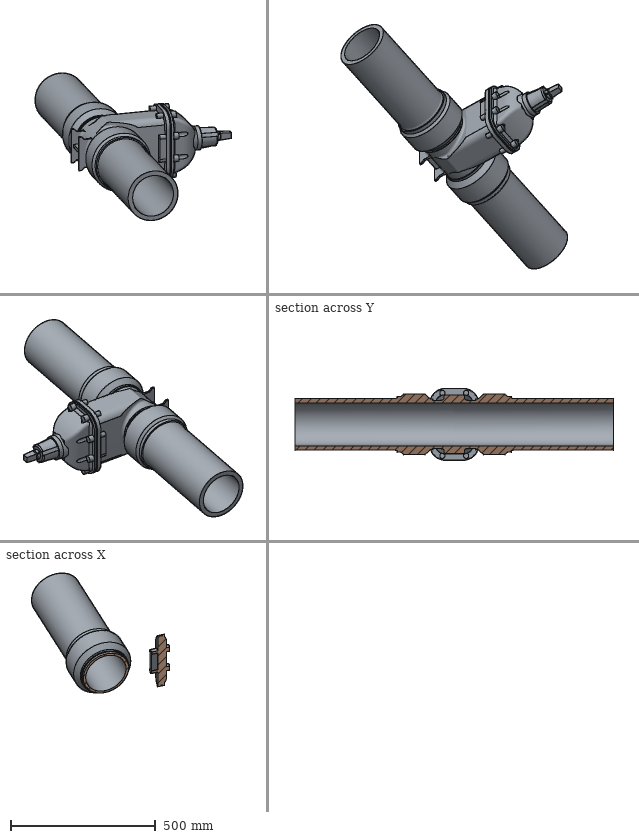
import cadquery as cq
import math


PIPE_LENGTH = 1101.0
PIPE_R = 180.0 / 2
BORE_R = 147.27 / 2
BODY_R = 168.0 / 2
BARREL_TOLERANCE = 0.5
NECK_R = 176.0 / 2
COLLAR_R = 211.0 / 2
SLEEVE_R = 97.0
SLEEVE_LIP_R = 92.0
NECK_START_X = 74.0
NECK_END_X = 82.0
COLLAR_START_X = 101.0
COLLAR_END_X = 174.5
SLEEVE_START_X = 183.5
SLEEVE_END_X = 197.0
LIP_END_X = 204.0

HOUSING_HALF_X = 64.0
HOUSING_HALF_Z = 101.5
HOUSING_FLAT_HALF_X = 35.0
HOUSING_CORNER_R = 29.0
HOUSING_CORNER_END_Z = 81.0
TAPER_TOP_Y = 98.0
TAPER_END_Y = 0.0
TOE_HALF_X = 36.0
TOE_TOP_Y = -7.0
TOE_BOTTOM_Y = -53.5
TOE_RIDGE_FILLET = 8.0
HOUSING_ROOT_FILLET = 8.0
TOE_BOTTOM_HALF_Z = math.sqrt(BODY_R**2 - TOE_BOTTOM_Y**2)

FLANGE_HALF_X = 85.0
FLANGE_HALF_Z = 248.74 / 2
FLANGE_CORNER_R = 55.0
GASKET_INSET = 3.0
LOWER_FLANGE_Y = 191.0
GASKET_BOTTOM_Y = 205.0
GASKET_TOP_Y = 209.0
UPPER_FLANGE_Y = 217.0

SIDE_BOLT = (73.0, 41.0)
END_BOLT = (41.0, 108.5)
UPPER_BOSS_R = 12.0
UPPER_BOSS_TOP_Y = 236.0
LOWER_BOSS_R = 9.0
LOWER_BOSS_BOTTOM_Y = 168.0
SIDE_PAD_INNER_X = 66.0
SIDE_PAD_OUTER_X = 81.0

SKIRT_TOP_Y = 227.0
SKIRT_WIDTH = 9.0
SKIRT_CORNER_R = 29.0
DOME_CENTRE_Y = 256.0
DOME_MID_Z = 83.0
DOME_MID_Y = 268.0
DOME_TOP_Y = 309.0
DOME_TOP_HALF_Z = 42.0
DOME_EDGE_FILLET = 12.0

SEAT_R = 42.0
SEAT_FLARE = 6.0
SEAT_FLARE_TOP_Y = 317.0
SEAT_BOTTOM_Y = 300.0
SEAT_TOP_Y = 333.0
GLAND_BASE_R = 36.0
GLAND_WAIST_R = 33.0
GLAND_WAIST_Y = 363.0
GLAND_TOP_R = 32.0
GLAND_TOP_Y = 395.0
GLAND_CHAMFER = 5.0
RIB_COUNT = 3
FIRST_RIB_ANGLE = 90.0
RIB_WIDTH = 14.0
RIB_TOP_R = 33.0
RIB_BASE_R = 37.5
RIB_STEP_Y = 374.0

STEM_COLLAR_R = 32.0 / 2
STEM_COLLAR_TOP_Y = 410.5
STEM_COLLAR_CHAMFER = 4.0
STEM_BASE_WIDTH = 26.0
STEM_TIP_WIDTH = 21.0
STEM_TOP_Y = 448.0

FOOT_Y = STEM_TOP_Y - 561.0
FOOT_X = 44.5
FOOT_THICKNESS = 7.0
FOOT_HALF_Z = 61.0
FOOT_ROOT_HALF_Z = 51.0
FOOT_EDGE_Y = -104.0
FOOT_ROOT_Y = -94.0
FOOT_TOP_Y = -60.0
FOOT_FILLET = 9.0
FOOT_TIE_Y = -106.0
FOOT_TIE_THICKNESS = 11.5


def xz_plane(y):
    """Workplane at height y whose local axes are +X and +Z; extrude(-h) grows toward +Y."""
    return cq.Workplane("XZ", origin=(0, y, 0))


def revolve_about_y(points):
    return cq.Workplane("XY").polyline(points).close().revolve(360, (0, 0, 0), (0, 1, 0))


def column(x, z, radius, bottom_y, top_y):
    return xz_plane(bottom_y).center(x, z).circle(radius).extrude(bottom_y - top_y)


def bolt_positions():
    return [
        (sx * x, sz * z)
        for x, z in (SIDE_BOLT, END_BOLT)
        for sx in (-1, 1)
        for sz in (-1, 1)
    ]


def pipe_run():
    """Pipe, sleeves, collars and body barrel as one body of revolution about X."""
    half_profile = [
        (NECK_START_X, BODY_R),
        (NECK_START_X, NECK_R),
        (NECK_END_X, NECK_R),
        (COLLAR_START_X, COLLAR_R),
        (COLLAR_END_X, COLLAR_R),
        (SLEEVE_START_X, SLEEVE_R),
        (SLEEVE_END_X, SLEEVE_R),
        (SLEEVE_END_X, SLEEVE_LIP_R),
        (LIP_END_X, PIPE_R),
        (PIPE_LENGTH / 2, PIPE_R),
        (PIPE_LENGTH / 2, 0),
    ]
    mirrored = [(-x, r) for x, r in reversed(half_profile)]
    return (
        cq.Workplane("XY")
        .polyline(mirrored + half_profile)
        .close()
        .revolve(360, (0, 0, 0), (1, 0, 0))
    )


def housing_prism(bottom_y, top_y):
    """Box along Y with flat ends in Z, round corners and gently bowed sides."""
    centre_z = HOUSING_HALF_Z - HOUSING_CORNER_R
    end_angle = math.asin((HOUSING_CORNER_END_Z - centre_z) / HOUSING_CORNER_R)
    end_x = HOUSING_FLAT_HALF_X + HOUSING_CORNER_R * math.cos(end_angle)
    mid_angle = (end_angle + math.pi / 2) / 2
    mid_x = HOUSING_FLAT_HALF_X + HOUSING_CORNER_R * math.cos(mid_angle)
    mid_z = centre_z + HOUSING_CORNER_R * math.sin(mid_angle)
    return (
        xz_plane(bottom_y)
        .moveTo(-HOUSING_FLAT_HALF_X, HOUSING_HALF_Z)
        .lineTo(HOUSING_FLAT_HALF_X, HOUSING_HALF_Z)
        .threePointArc((mid_x, mid_z), (end_x, HOUSING_CORNER_END_Z))
        .threePointArc((HOUSING_HALF_X, 0), (end_x, -HOUSING_CORNER_END_Z))
        .threePointArc((mid_x, -mid_z), (HOUSING_FLAT_HALF_X, -HOUSING_HALF_Z))
        .lineTo(-HOUSING_FLAT_HALF_X, -HOUSING_HALF_Z)
        .threePointArc((-mid_x, -mid_z), (-end_x, -HOUSING_CORNER_END_Z))
        .threePointArc((-HOUSING_HALF_X, 0), (-end_x, HOUSING_CORNER_END_Z))
        .threePointArc((-mid_x, mid_z), (-HOUSING_FLAT_HALF_X, HOUSING_HALF_Z))
        .close()
        .extrude(bottom_y - top_y)
    )


def housing():
    """Gate housing, narrowing toward the pipe and ending in a sloped toe."""
    taper = (
        cq.Workplane("XY")
        .polyline([
            (-HOUSING_HALF_X, LOWER_FLANGE_Y),
            (-HOUSING_HALF_X, TAPER_TOP_Y),
            (-TOE_HALF_X, TAPER_END_Y),
            (-TOE_HALF_X, TOE_BOTTOM_Y),
            (TOE_HALF_X, TOE_BOTTOM_Y),
            (TOE_HALF_X, TAPER_END_Y),
            (HOUSING_HALF_X, TAPER_TOP_Y),
            (HOUSING_HALF_X, LOWER_FLANGE_Y),
        ])
        .close()
        .extrude(HOUSING_HALF_Z, both=True)
    )
    toe = (
        cq.Workplane("YZ")
        .polyline([
            (LOWER_FLANGE_Y, HOUSING_HALF_Z),
            (TOE_TOP_Y, HOUSING_HALF_Z),
            (TOE_BOTTOM_Y, TOE_BOTTOM_HALF_Z),
            (TOE_BOTTOM_Y, -TOE_BOTTOM_HALF_Z),
            (TOE_TOP_Y, -HOUSING_HALF_Z),
            (LOWER_FLANGE_Y, -HOUSING_HALF_Z),
        ])
        .close()
        .extrude(HOUSING_HALF_X, both=True)
    )
    body = housing_prism(TOE_BOTTOM_Y, LOWER_FLANGE_Y).intersect(taper).intersect(toe)
    ridges = cq.selectors.BoxSelector(
        (-HOUSING_HALF_X, TOE_BOTTOM_Y / 2, -2 * HOUSING_HALF_Z),
        (HOUSING_HALF_X, TAPER_END_Y, 2 * HOUSING_HALF_Z),
    )
    return body.edges("|X").edges(ridges).fillet(TOE_RIDGE_FILLET)


def flange_plate(bottom_y, top_y, inset):
    return (
        xz_plane(bottom_y)
        .rect(2 * (FLANGE_HALF_X - inset), 2 * (FLANGE_HALF_Z - inset))
        .extrude(bottom_y - top_y)
        .edges("|Y")
        .fillet(FLANGE_CORNER_R - inset)
    )


def flanges():
    lower = flange_plate(LOWER_FLANGE_Y, GASKET_BOTTOM_Y, 0)
    gasket = flange_plate(GASKET_BOTTOM_Y, GASKET_TOP_Y, GASKET_INSET)
    upper = flange_plate(GASKET_TOP_Y, UPPER_FLANGE_Y, 0)
    return lower.union(gasket).union(upper)


def lower_bosses():
    """Bosses under the lower flange and the pads that join them along each side."""
    pad_width = SIDE_PAD_OUTER_X - SIDE_PAD_INNER_X
    pad_x = (SIDE_PAD_INNER_X + SIDE_PAD_OUTER_X) / 2
    bosses = (
        xz_plane(LOWER_BOSS_BOTTOM_Y)
        .pushPoints([(-pad_x, 0), (pad_x, 0)])
        .rect(pad_width, 2 * SIDE_BOLT[1])
        .extrude(LOWER_BOSS_BOTTOM_Y - LOWER_FLANGE_Y)
    )
    for x, z in bolt_positions():
        bosses = bosses.union(column(x, z, LOWER_BOSS_R, LOWER_BOSS_BOTTOM_Y, LOWER_FLANGE_Y))
    return bosses


def dome():
    """Bonnet dome: one curve in XY crossed with another in YZ, with a rounded rim."""
    across = (
        cq.Workplane("XY")
        .moveTo(-HOUSING_HALF_X, UPPER_FLANGE_Y)
        .lineTo(-HOUSING_HALF_X, DOME_CENTRE_Y)
        .threePointArc((0, DOME_CENTRE_Y + HOUSING_HALF_X), (HOUSING_HALF_X, DOME_CENTRE_Y))
        .lineTo(HOUSING_HALF_X, UPPER_FLANGE_Y)
        .close()
        .extrude(HOUSING_HALF_Z, both=True)
    )
    along = (
        cq.Workplane("YZ")
        .moveTo(UPPER_FLANGE_Y, HOUSING_HALF_Z)
        .lineTo(SKIRT_TOP_Y, HOUSING_HALF_Z)
        .threePointArc((DOME_MID_Y, DOME_MID_Z), (DOME_TOP_Y, DOME_TOP_HALF_Z))
        .lineTo(DOME_TOP_Y, -DOME_TOP_HALF_Z)
        .threePointArc((DOME_MID_Y, -DOME_MID_Z), (SKIRT_TOP_Y, -HOUSING_HALF_Z))
        .lineTo(UPPER_FLANGE_Y, -HOUSING_HALF_Z)
        .close()
        .extrude(HOUSING_HALF_X, both=True)
    )
    rim = cq.selectors.BoxSelector(
        (-HOUSING_HALF_X, UPPER_FLANGE_Y, -HOUSING_HALF_Z),
        (HOUSING_HALF_X, DOME_TOP_Y, HOUSING_HALF_Z),
    )
    return across.intersect(along).edges(rim).edges("not(|X or |Z)").fillet(DOME_EDGE_FILLET)


def skirt():
    """Sloped foot of the dome where it meets the upper flange."""
    height = SKIRT_TOP_Y - UPPER_FLANGE_Y
    slope = math.degrees(math.atan2(SKIRT_WIDTH, height))
    outline = cq.Sketch().rect(2 * (HOUSING_HALF_X + SKIRT_WIDTH), 2 * (HOUSING_HALF_Z + SKIRT_WIDTH))
    outline = outline.vertices().fillet(SKIRT_CORNER_R)
    return xz_plane(UPPER_FLANGE_Y).placeSketch(outline).extrude(-height, taper=slope)


def bonnet():
    """Dome with a round clearance scooped above each bolt, and the upper bolt bosses."""
    body = dome().union(skirt())
    for x, z in bolt_positions():
        body = body.cut(column(x, z, UPPER_BOSS_R, UPPER_BOSS_TOP_Y, DOME_TOP_Y))
        body = body.union(column(x, z, UPPER_BOSS_R, UPPER_FLANGE_Y, UPPER_BOSS_TOP_Y))
    return body


def gland():
    """Round seat flaring into the dome, and the tapered gland around the stem."""
    return revolve_about_y([
        (0, SEAT_BOTTOM_Y),
        (SEAT_R + SEAT_FLARE, SEAT_BOTTOM_Y),
        (SEAT_R, SEAT_FLARE_TOP_Y),
        (SEAT_R, SEAT_TOP_Y),
        (GLAND_BASE_R, SEAT_TOP_Y),
        (GLAND_WAIST_R, GLAND_WAIST_Y),
        (GLAND_TOP_R, GLAND_TOP_Y - GLAND_CHAMFER),
        (GLAND_TOP_R - GLAND_CHAMFER, GLAND_TOP_Y),
        (0, GLAND_TOP_Y),
    ])


def gland_ribs():
    """Three ribs around the gland, one of them pointing along -Z."""
    rib = (
        cq.Workplane("XY")
        .polyline([
            (0, SEAT_TOP_Y),
            (RIB_BASE_R, SEAT_TOP_Y),
            (RIB_TOP_R, RIB_STEP_Y),
            (RIB_TOP_R, GLAND_TOP_Y),
            (0, GLAND_TOP_Y),
        ])
        .close()
        .extrude(RIB_WIDTH / 2, both=True)
    )
    ribs = cq.Workplane("XY")
    for i in range(RIB_COUNT):
        angle = FIRST_RIB_ANGLE + i * 360 / RIB_COUNT
        ribs = ribs.union(rib.rotate((0, 0, 0), (0, 1, 0), angle))
    return ribs


def stem():
    """Chamfered round collar and tapered square stem."""
    collar = column(0, 0, STEM_COLLAR_R, GLAND_TOP_Y, STEM_COLLAR_TOP_Y)
    collar = collar.faces(">Y").chamfer(STEM_COLLAR_CHAMFER)
    square = (
        xz_plane(GLAND_TOP_Y)
        .rect(STEM_BASE_WIDTH, STEM_BASE_WIDTH)
        .workplane(offset=GLAND_TOP_Y - STEM_TOP_Y)
        .rect(STEM_TIP_WIDTH, STEM_TIP_WIDTH)
        .loft()
    )
    return collar.union(square)


def foot():
    """Two cross plates joined by a tie rib below the body."""
    plate = (
        cq.Workplane("YZ")
        .polyline([
            (FOOT_Y, -FOOT_HALF_Z),
            (FOOT_EDGE_Y, -FOOT_HALF_Z),
            (FOOT_ROOT_Y, -FOOT_ROOT_HALF_Z),
            (FOOT_TOP_Y, -FOOT_ROOT_HALF_Z),
            (FOOT_TOP_Y, FOOT_ROOT_HALF_Z),
            (FOOT_ROOT_Y, FOOT_ROOT_HALF_Z),
            (FOOT_EDGE_Y, FOOT_HALF_Z),
            (FOOT_Y, FOOT_HALF_Z),
        ])
        .close()
        .extrude(FOOT_THICKNESS / 2, both=True)
    )
    tie = cq.Workplane("XY").box(2 * FOOT_X, FOOT_TOP_Y - FOOT_TIE_Y, FOOT_TIE_THICKNESS)
    tie = tie.translate((0, (FOOT_TOP_Y + FOOT_TIE_Y) / 2, 0))
    return tie.union(plate.translate((-FOOT_X, 0, 0))).union(plate.translate((FOOT_X, 0, 0)))


def lies_on_barrel(edge):
    """True for an edge that follows the round surface of the body barrel."""
    points = [edge.startPoint(), edge.endPoint(), edge.positionAt(0.5)]
    return all(abs(math.hypot(p.y, p.z) - BODY_R) < BARREL_TOLERANCE for p in points)


def barrel_root_edges(body, bottom_y, top_y, half_x):
    """Curved edges where a feature between two heights runs into the barrel."""
    return [
        edge
        for edge in body.edges().vals()
        if edge.geomType() != "LINE"
        and lies_on_barrel(edge)
        and abs(edge.Center().x) < half_x
        and bottom_y < edge.Center().y < top_y
    ]


def valve_body():
    """Pipe run with the housing and the foot blended into the barrel."""
    body = pipe_run().union(housing())
    roots = barrel_root_edges(body, TOE_BOTTOM_Y, TAPER_TOP_Y, HOUSING_HALF_X)
    body = body.newObject(roots).fillet(HOUSING_ROOT_FILLET)
    body = body.union(foot())
    roots = barrel_root_edges(body, FOOT_Y, FOOT_TOP_Y, FOOT_X + FOOT_THICKNESS)
    return body.newObject(roots).fillet(FOOT_FILLET)


result = valve_body()
for feature in (flanges(), lower_bosses(), bonnet(), gland(), gland_ribs(), stem()):
    result = result.union(feature)

bore = cq.Workplane("YZ").circle(BORE_R).extrude(PIPE_LENGTH / 2, both=True)
result = result.cut(bore)